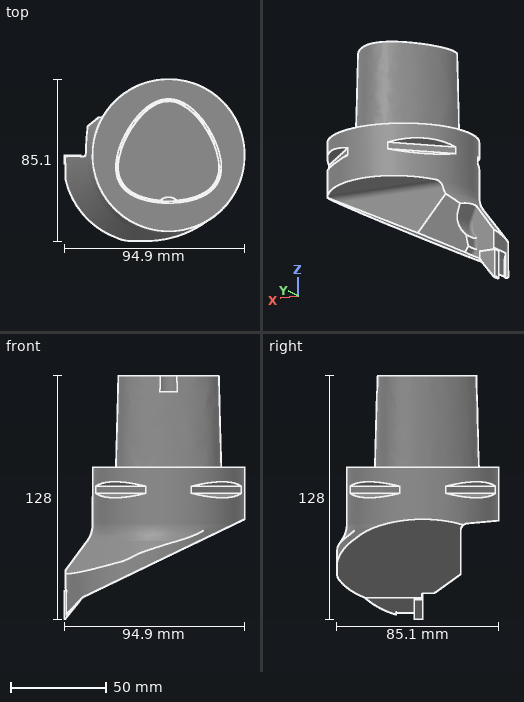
import cadquery as cq
import math


SHANK_HEIGHT = 48.0
SHANK_BASE_RADIUS = 27.4
SHANK_TOP_RADIUS = 26.1
LOBE_OFFSET = 2.2
LOBE_POINTS = 36
NOTCH_RADIUS = 12.5 / 2
NOTCH_CENTER_Y = -28.3
NOTCH_DEPTH = 8.5

FLANGE_RADIUS = 80.0 / 2
FLANGE_BOTTOM = -30.2
GROOVE_Z = -11.9
GROOVE_FLOOR_DISTANCE = 35.5
GROOVE_FLOOR_HALF_HEIGHT = 1.8
GROOVE_MOUTH_HALF_HEIGHT = 4.2
GROOVE_OVERSHOOT = 1.3
GROOVE_ANGLES = (45, 135, 225, 315)

NECK_RADIUS = 14.5
FLARE_ANGLE = 36.5
HEAD_SIDE_X = -54.1
TOTAL_DEPTH = 85.1
HEAD_FRONT_Y = FLANGE_RADIUS - TOTAL_DEPTH
SIDE_FLAT_END_Y = -12.8
SIDE_ARC_MIDDLE = (-46.0, -29.8)
CORNER_ARC_START = (-27.4, -43.4)
CORNER_ARC_MIDDLE = (-23.7, -44.7)
FRONT_FLAT_START_X = -19.7
FRONT_FLAT_END_X = -13.5
BLEND_ARC_MIDDLE = (4.5, -42.6)
BLEND_ARC_END_X = 19.8
WALL_BLEND_RADIUS = FLANGE_RADIUS + 0.1

SLOPE_END_Z = -27.4
HEEL_X = -45.2
HEEL_Z = -68.5
NOSE_X = -54.9
NOSE_Z = -80.0
FLANK_END_Z = -77.8

RELIEF_Y = 20.0
RELIEF_ROOT_Z = -30.0
RELIEF_RIM_Z = -28.2
RELIEF_FILLET = 3.7
BEVEL_ORIGIN = (-19.8, RELIEF_Y, -56.3)
BEVEL_TOP_Z = -35.8
BEVEL_NORMAL = (-1.6, 3.4, -1.4)

POCKET_Y = -0.6
POCKET_FILLET = 1.7
POCKET_TOP_Z = -39.7
POCKET_MOUTH_X = -43.5
POCKET_FLOOR_X = -40.0
POCKET_FLOOR_Z = -48.0
POCKET_ARC_MIDDLE = (-40.2, -53.1)
POCKET_STEP_X = -42.6
POCKET_STEP_TOP_Z = -57.6
POCKET_STEP_BOTTOM_Z = -63.2
POCKET_FOOT_X = -40.3
POCKET_FOOT_Z = -66.5

INSERT_THICKNESS = 4.5
INSERT_TOP_Z = -64.9
INSERT_BACK_X = -46.1
INSERT_TIP_WIDTH = 0.5
SEAT_RELIEF_X = -53.0
SEAT_ROUND_Z = -67.6
SEAT_RELIEF_RADIUS = 6.4
SEAT_RELIEF_DEPTH = 14.0

BLANK_BOTTOM = -89.6
REACH = 102.4


def lobed_section(radius, z):
    def point(angle):
        lobe_angle = 1.5 * math.pi - 2 * angle
        x = radius * math.cos(angle) + LOBE_OFFSET * math.cos(lobe_angle)
        y = radius * math.sin(angle) + LOBE_OFFSET * math.sin(lobe_angle)
        return cq.Vector(x, y, z)

    points = [point(2 * math.pi * i / LOBE_POINTS) for i in range(LOBE_POINTS)]
    return cq.Wire.assembleEdges([cq.Edge.makeSpline(points, periodic=True)])


def make_shank():
    base = lobed_section(SHANK_BASE_RADIUS, 0)
    top = lobed_section(SHANK_TOP_RADIUS, SHANK_HEIGHT)
    shank = cq.Workplane(cq.Solid.makeLoft([base, top], True))
    notch = (
        cq.Workplane("XY", origin=(0, NOTCH_CENTER_Y, SHANK_HEIGHT - NOTCH_DEPTH))
        .circle(NOTCH_RADIUS)
        .extrude(NOTCH_DEPTH)
    )
    return shank.cut(notch)


def make_revolved_blank():
    angle = math.radians(FLARE_ANGLE)
    half = angle / 2

    def neck_point(turn):
        radius = FLANGE_RADIUS + NECK_RADIUS * (1 - math.cos(turn))
        return (radius, FLANGE_BOTTOM - NECK_RADIUS * math.sin(turn))

    neck_end = neck_point(angle)
    rim_radius = neck_end[0] + (neck_end[1] - BLANK_BOTTOM) * math.tan(angle)
    return (
        cq.Workplane("XZ")
        .lineTo(FLANGE_RADIUS, 0)
        .lineTo(FLANGE_RADIUS, FLANGE_BOTTOM)
        .threePointArc(neck_point(half), neck_end)
        .lineTo(rim_radius, BLANK_BOTTOM)
        .lineTo(0, BLANK_BOTTOM)
        .close()
        .revolve(360, (0, 0, 0), (0, 1, 0))
    )


def make_head_envelope():
    """Upright prism that trims the flare to the outline of the head."""
    blend_y = -math.sqrt(WALL_BLEND_RADIUS**2 - BLEND_ARC_END_X**2)
    diagonal = WALL_BLEND_RADIUS / math.sqrt(2)
    return (
        cq.Workplane("XY", origin=(0, 0, BLANK_BOTTOM))
        .moveTo(HEAD_SIDE_X, REACH)
        .lineTo(HEAD_SIDE_X, SIDE_FLAT_END_Y)
        .threePointArc(SIDE_ARC_MIDDLE, CORNER_ARC_START)
        .threePointArc(CORNER_ARC_MIDDLE, (FRONT_FLAT_START_X, HEAD_FRONT_Y))
        .lineTo(FRONT_FLAT_END_X, HEAD_FRONT_Y)
        .threePointArc(BLEND_ARC_MIDDLE, (BLEND_ARC_END_X, blend_y))
        .threePointArc((diagonal, -diagonal), (WALL_BLEND_RADIUS, 0))
        .lineTo(WALL_BLEND_RADIUS, REACH)
        .close()
        .extrude(-BLANK_BOTTOM)
    )


def make_underside_cutter():
    slope = (SLOPE_END_Z - HEEL_Z) / (FLANGE_RADIUS - HEEL_X)
    flank_slope = (FLANK_END_Z - HEEL_Z) / (HEAD_SIDE_X - HEEL_X)
    return (
        cq.Workplane("XZ")
        .moveTo(REACH, HEEL_Z + slope * (REACH - HEEL_X))
        .lineTo(HEEL_X, HEEL_Z)
        .lineTo(-REACH, HEEL_Z + flank_slope * (-REACH - HEEL_X))
        .lineTo(-REACH, -2 * REACH)
        .lineTo(REACH, -2 * REACH)
        .close()
        .extrude(REACH, both=True)
    )


def make_relief_cutter():
    rise = (RELIEF_RIM_Z - RELIEF_ROOT_Z) / (FLANGE_RADIUS - RELIEF_Y)
    return (
        cq.Workplane("YZ")
        .moveTo(RELIEF_Y, RELIEF_ROOT_Z)
        .lineTo(REACH, RELIEF_ROOT_Z + rise * (REACH - RELIEF_Y))
        .lineTo(REACH, -REACH)
        .lineTo(RELIEF_Y, -REACH)
        .close()
        .extrude(REACH, both=True)
        .edges(cq.selectors.NearestToPointSelector((0, RELIEF_Y, RELIEF_ROOT_Z)))
        .fillet(RELIEF_FILLET)
    )


def make_bevel_cutter():
    plane = cq.Plane(origin=BEVEL_ORIGIN, xDir=(BEVEL_NORMAL[1], -BEVEL_NORMAL[0], 0), normal=BEVEL_NORMAL)
    bevel = cq.Workplane(plane).rect(2 * REACH, 2 * REACH).extrude(REACH)
    limit = cq.Workplane("XY", origin=(-REACH / 2, REACH / 2 + POCKET_Y, BEVEL_TOP_Z - REACH / 2))
    return bevel.intersect(limit.box(REACH, REACH, REACH))


def make_pocket_cutter():
    return (
        cq.Workplane("XZ", origin=(0, POCKET_Y, 0))
        .moveTo(-REACH, POCKET_TOP_Z)
        .lineTo(POCKET_MOUTH_X, POCKET_TOP_Z)
        .lineTo(POCKET_FLOOR_X, POCKET_FLOOR_Z)
        .threePointArc(POCKET_ARC_MIDDLE, (POCKET_STEP_X, POCKET_STEP_TOP_Z))
        .lineTo(POCKET_STEP_X, POCKET_STEP_BOTTOM_Z)
        .lineTo(POCKET_FOOT_X, POCKET_FOOT_Z)
        .lineTo(POCKET_FOOT_X, -REACH)
        .lineTo(-REACH, -REACH)
        .close()
        .extrude(-REACH)
        .faces("<Y")
        .edges("not(<X or <Z)")
        .fillet(POCKET_FILLET)
    )


def make_seat_relief_cutter():
    """Shallow flat behind the insert, running out at its upper end in a concave round."""
    depth = SEAT_RELIEF_X - HEAD_SIDE_X
    turn = math.acos(1 - depth / SEAT_RELIEF_RADIUS)

    def round_point(angle):
        x = SEAT_RELIEF_X - SEAT_RELIEF_RADIUS * (1 - math.cos(angle))
        return (x, SEAT_ROUND_Z + SEAT_RELIEF_RADIUS * math.sin(angle))

    round_end = round_point(turn)
    return (
        cq.Workplane("XZ")
        .moveTo(SEAT_RELIEF_X, -REACH)
        .lineTo(SEAT_RELIEF_X, SEAT_ROUND_Z)
        .threePointArc(round_point(turn / 2), round_end)
        .lineTo(-REACH, round_end[1])
        .lineTo(-REACH, -REACH)
        .close()
        .extrude(SEAT_RELIEF_DEPTH)
    )


def make_groove_cutter(angle):
    slope = (GROOVE_MOUTH_HALF_HEIGHT - GROOVE_FLOOR_HALF_HEIGHT) / (FLANGE_RADIUS - GROOVE_FLOOR_DISTANCE)
    outer = FLANGE_RADIUS + GROOVE_OVERSHOOT
    outer_half = GROOVE_FLOOR_HALF_HEIGHT + slope * (outer - GROOVE_FLOOR_DISTANCE)
    return (
        cq.Workplane("XZ")
        .moveTo(GROOVE_FLOOR_DISTANCE, GROOVE_Z - GROOVE_FLOOR_HALF_HEIGHT)
        .lineTo(outer, GROOVE_Z - outer_half)
        .lineTo(outer, GROOVE_Z + outer_half)
        .lineTo(GROOVE_FLOOR_DISTANCE, GROOVE_Z + GROOVE_FLOOR_HALF_HEIGHT)
        .close()
        .extrude(FLANGE_RADIUS, both=True)
        .rotate((0, 0, 0), (0, 0, 1), angle)
    )


def make_insert():
    tip_x = NOSE_X + INSERT_TIP_WIDTH
    flank_slope = (HEEL_Z - NOSE_Z) / (HEEL_X - tip_x)
    return (
        cq.Workplane("XZ")
        .moveTo(NOSE_X, INSERT_TOP_Z)
        .lineTo(NOSE_X, NOSE_Z + INSERT_TIP_WIDTH)
        .lineTo(tip_x, NOSE_Z)
        .lineTo(INSERT_BACK_X, NOSE_Z + flank_slope * (INSERT_BACK_X - tip_x))
        .lineTo(INSERT_BACK_X, INSERT_TOP_Z)
        .close()
        .extrude(INSERT_THICKNESS)
    )


def make_holder(insert):
    holder = make_revolved_blank().intersect(make_head_envelope())
    holder = holder.cut(make_underside_cutter())
    holder = holder.cut(make_relief_cutter())
    holder = holder.cut(make_bevel_cutter())
    holder = holder.cut(make_pocket_cutter())
    holder = holder.cut(make_seat_relief_cutter())
    for angle in GROOVE_ANGLES:
        holder = holder.cut(make_groove_cutter(angle))
    return holder.union(make_shank()).cut(insert)


insert = make_insert()
holder = make_holder(insert)
result = cq.Compound.makeCompound([holder.val(), insert.val()])